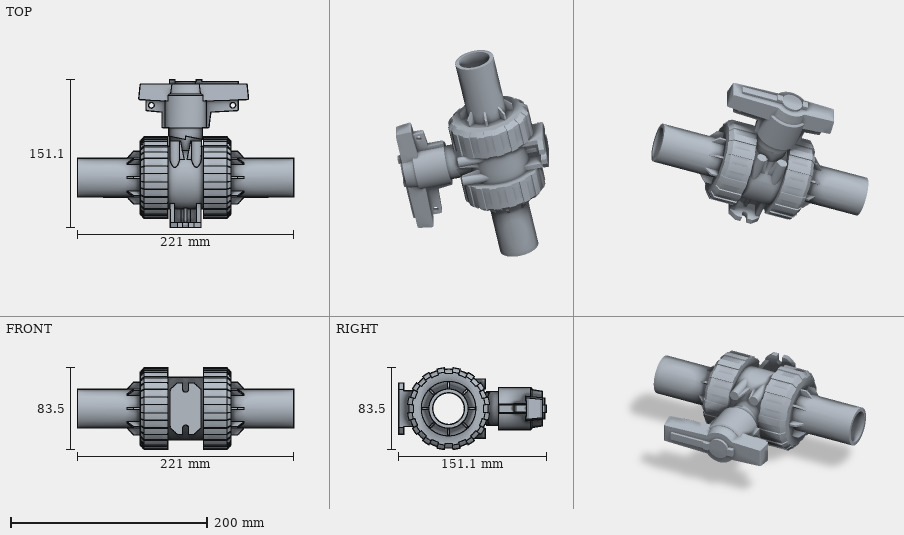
import cadquery as cq
import math


pipe_length = 221.0
pipe_radius = 40.0 / 2
bore_radius = 32.0 / 2
body_radius = 32.0
nut_inner_x = 18.1
nut_outer_x = 46.5
nut_rib_radius = 42.0
nut_groove_radius = 40.5
nut_chamfer_length = 4.2
nut_chamfer_height = 4.6
nut_rib_count = 16
nut_rib_angle = 10.5
collar_radius = 27.8
collar_recess = 0.5

fin_count = 8
fin_thickness = 2.1
fin_radius = 27.0
fin_flat_x = 53.0
fin_end_x = 59.7

foot_outer_y = -51.0
plate_inner_y = -45.5
plate_half_x = 16.0
plate_half_z = 26.3
plate_top_half_x = 8.5
plate_side_half_z = 19.5
plate_slot_radius = 3.0
plate_slot_floor_z = 16.8
foot_leg_thickness = 4.6
foot_leg_half_z = 18.3
foot_web_half_z = 2.2
foot_boss_radius = 5.3
foot_rib_half_x = 1.65
foot_rib_half_z = 9.0

stem_radius = 17.5
stem_top_y = 66.7
neck_radius = 16.4
cam_high_y = 42.5
cam_low_y = 39.0
post_radius = 5.0
post_x = 11.0
post_z = 25.2
post_top_y = 37.5
gusset_thickness = 2.2
gusset_base_y = 18.3
gusset_base_x = 1.3
gusset_top_x = 5.3

hub_radius = 21.7
hub_bore_radius = 18.5
hub_bottom_y = 50.8
hub_shoulder_y = 85.0
hub_edge_chamfer = 1.3
cap_base_radius = 19.5
cap_top_radius = 17.7
hub_cavity_top_y = 80.0
hub_slot_half_z = 4.9
grip_center_x = 8.2
grip_length = 112.7
grip_bottom_y = 78.2
grip_end_bottom_y = 79.5
grip_top_y = 95.7
grip_middle_half_z = 13.3
grip_end_half_z = 11.0
grip_draft_slope = 0.1
grip_draft = math.degrees(math.atan(grip_draft_slope))
grip_end_wall = 4.5
grip_roof = 3.3
grip_pocket_half_z = 7.5
grip_end_fillet = 1.5

insert_half_z = 7.7 / 2
insert_left_x = -40.5
insert_right_x = 53.7
insert_end_y = 68.3
insert_step_y = 66.7
insert_left_leg_x = -24.3
insert_right_leg_x = 23.9
insert_right_step_x = 25.9
insert_strip_x = 8.8
insert_top_y = 98.3
insert_corner_radius = 1.3
lock_hole_radius = 5.5 / 2
lock_hole_y = 73.8
lock_hole_inset = 5.5
button_radius = 10.8
catch_inner_x = 10.8
catch_outer_x = 16.5
catch_top_y = 100.1


def box_between(x0, x1, y0, y1, z0, z1):
    size = cq.Workplane("XY").box(x1 - x0, y1 - y0, z1 - z0, centered=False)
    return size.translate((x0, y0, z0))


def cylinder_x(radius, x0, x1):
    return cq.Workplane("YZ").workplane(offset=x0).circle(radius).extrude(x1 - x0)


def cylinder_y(radius, y0, y1, x=0.0, z=0.0):
    return cq.Workplane("XZ", origin=(x, y0, z)).circle(radius).extrude(y0 - y1)


def slab(points, half_z):
    """Outline in the XY plane, extruded symmetrically about Z = 0."""
    return cq.Workplane("XY").polyline(points).close().extrude(half_z, both=True)


def nut_sector(radius, angle):
    """Part of a nut on the +X side, swept about the pipe axis by the given angle."""
    profile = [
        (nut_inner_x, 0),
        (nut_inner_x, radius),
        (nut_outer_x - nut_chamfer_length, radius),
        (nut_outer_x, radius - nut_chamfer_height),
        (nut_outer_x, 0),
    ]
    return cq.Workplane("XY").polyline(profile).close().revolve(angle, (0, 0, 0), (1, 0, 0))


def make_nut():
    nut = nut_sector(nut_groove_radius, 360)
    pitch = 360 / nut_rib_count
    rib = nut_sector(nut_rib_radius, nut_rib_angle)
    for index in range(nut_rib_count):
        start = (index + 0.5) * pitch - nut_rib_angle / 2
        nut = nut.union(rib.rotate((0, 0, 0), (1, 0, 0), start))
    return nut.cut(cylinder_x(collar_radius, nut_outer_x - collar_recess, nut_outer_x))


def make_fins():
    profile = [
        (nut_inner_x, 0),
        (nut_inner_x, fin_radius),
        (fin_flat_x, fin_radius),
        (fin_end_x, pipe_radius),
        (fin_end_x, 0),
    ]
    fin = slab(profile, fin_thickness / 2)
    fins = fin
    for index in range(1, fin_count):
        fins = fins.union(fin.rotate((0, 0, 0), (1, 0, 0), index * 360 / fin_count))
    return fins


def make_run():
    run = cylinder_x(pipe_radius, -pipe_length / 2, pipe_length / 2)
    run = run.union(cylinder_x(body_radius, -nut_inner_x, nut_inner_x))
    end = make_nut().union(make_fins())
    return run.union(end).union(end.mirror("YZ"))


def make_foot():
    thickness = plate_inner_y - foot_outer_y
    outline = [
        (plate_half_x, plate_side_half_z),
        (plate_top_half_x, plate_half_z),
        (-plate_top_half_x, plate_half_z),
        (-plate_half_x, plate_side_half_z),
        (-plate_half_x, -plate_side_half_z),
        (-plate_top_half_x, -plate_half_z),
        (plate_top_half_x, -plate_half_z),
        (plate_half_x, -plate_side_half_z),
    ]
    plate_plane = cq.Workplane("XZ", origin=(0, plate_inner_y, 0))
    foot = plate_plane.polyline(outline).close().extrude(thickness)
    leg_inner_x = plate_half_x - foot_leg_thickness
    for side_x in (-plate_half_x, leg_inner_x):
        foot = foot.union(box_between(
            side_x, side_x + foot_leg_thickness, plate_inner_y, 0, -foot_leg_half_z, foot_leg_half_z))
    foot = foot.union(box_between(
        -leg_inner_x, leg_inner_x, plate_inner_y, 0, -foot_web_half_z, foot_web_half_z))
    foot = foot.union(cylinder_y(foot_boss_radius, plate_inner_y, 0))
    foot = foot.union(box_between(
        -foot_rib_half_x, foot_rib_half_x, plate_inner_y, 0, -foot_rib_half_z, foot_rib_half_z))
    slot_center_z = plate_slot_floor_z + plate_slot_radius
    for side in (-1, 1):
        foot = foot.cut(cylinder_y(
            plate_slot_radius, foot_outer_y, plate_inner_y, z=side * slot_center_z))
        slot_z = sorted((side * slot_center_z, side * plate_half_z))
        foot = foot.cut(box_between(
            -plate_slot_radius, plate_slot_radius, foot_outer_y, plate_inner_y, *slot_z))
    return foot


def make_stem():
    stem = cylinder_y(neck_radius, 0, cam_high_y)
    stem = stem.union(cylinder_y(stem_radius, cam_high_y, stem_top_y))
    ramps = slab([
        (-stem_radius, cam_high_y),
        (0, cam_low_y),
        (0, cam_high_y),
        (stem_radius, cam_low_y),
        (stem_radius, stem_top_y),
        (-stem_radius, stem_top_y),
    ], stem_radius)
    return stem.union(cylinder_y(stem_radius, cam_low_y, stem_top_y).intersect(ramps))


def make_stop_posts():
    gusset = slab([
        (gusset_base_x, gusset_base_y),
        (gusset_top_x, post_top_y),
        (post_x, post_top_y),
        (post_x, gusset_base_y),
    ], gusset_thickness / 2)
    post = cylinder_y(post_radius, 0, post_top_y, post_x, post_z)
    post = post.union(gusset.translate((0, 0, post_z)))
    pair = post.union(post.mirror("YZ"))
    return pair.union(pair.mirror("XY"))


def make_grip():
    half_length = grip_length / 2
    left_x = grip_center_x - half_length
    right_x = grip_center_x + half_length
    outline = [
        (left_x, -grip_end_half_z),
        (0, -grip_middle_half_z),
        (right_x, -grip_end_half_z),
        (right_x, grip_end_half_z),
        (0, grip_middle_half_z),
        (left_x, grip_end_half_z),
    ]
    base_plane = cq.Workplane("XZ", origin=(0, grip_bottom_y, 0))
    height = grip_top_y - grip_bottom_y
    grip = base_plane.polyline(outline).close().extrude(-height, taper=grip_draft)
    for side, end_x in ((-1, left_x), (1, right_x)):
        grip = grip.cut(slab([
            (side * hub_radius, grip_bottom_y),
            (end_x, grip_end_bottom_y),
            (end_x, grip_bottom_y),
        ], grip_middle_half_z))
    grip = grip.faces(">Y").edges("<X or >X").fillet(grip_end_fillet)
    grip = grip.edges("<X or >X").fillet(grip_end_fillet)
    return grip.cut(box_between(
        left_x + grip_end_wall, right_x - grip_end_wall,
        grip_bottom_y, grip_top_y - grip_roof,
        -grip_pocket_half_z, grip_pocket_half_z))


def make_hub():
    profile = [
        (0, hub_bottom_y),
        (hub_radius, hub_bottom_y),
        (hub_radius, hub_shoulder_y - hub_edge_chamfer),
        (hub_radius - hub_edge_chamfer, hub_shoulder_y),
        (cap_base_radius, hub_shoulder_y),
        (cap_top_radius, grip_top_y),
        (0, grip_top_y),
    ]
    return cq.Workplane("XY").polyline(profile).close().revolve(360, (0, 0, 0), (0, 1, 0))


def make_insert():
    outline = [
        (insert_left_x, insert_end_y),
        (insert_left_leg_x, insert_step_y),
        (insert_left_leg_x, hub_bottom_y),
        (insert_right_leg_x, hub_bottom_y),
        (insert_right_step_x, insert_step_y),
        (insert_right_x, insert_end_y),
        (insert_right_x, insert_top_y),
        (insert_strip_x, insert_top_y),
        (insert_strip_x, grip_top_y),
        (insert_left_x, grip_top_y),
    ]
    insert = slab(outline, insert_half_z)
    lower_corners = [
        (insert_left_x, insert_end_y, 0),
        (insert_left_leg_x, hub_bottom_y, 0),
        (insert_right_leg_x, hub_bottom_y, 0),
        (insert_right_x, insert_end_y, 0),
    ]
    for point in lower_corners:
        corner = cq.selectors.NearestToPointSelector(point)
        insert = insert.edges("|Z").edges(corner).fillet(insert_corner_radius)
    for hole_x in (insert_left_x + lock_hole_inset, insert_right_x - lock_hole_inset):
        hole = cq.Workplane("XY").center(hole_x, lock_hole_y).circle(lock_hole_radius)
        insert = insert.cut(hole.extrude(insert_half_z, both=True))
    insert = insert.union(cylinder_y(button_radius, grip_top_y, insert_top_y))
    for left_x in (-catch_outer_x, catch_inner_x):
        insert = insert.union(box_between(
            left_x, left_x + catch_outer_x - catch_inner_x,
            hub_shoulder_y, catch_top_y, -insert_half_z, insert_half_z))
    return insert


def make_handle():
    handle = make_grip().union(make_hub())
    handle = handle.cut(cylinder_y(hub_bore_radius, hub_bottom_y, hub_cavity_top_y))
    handle = handle.cut(box_between(
        -hub_radius, hub_radius, hub_bottom_y, hub_cavity_top_y, -hub_slot_half_z, hub_slot_half_z))
    return handle.union(make_insert())


valve = make_run().union(make_foot()).union(make_stem()).union(make_stop_posts())
valve = valve.cut(cylinder_x(bore_radius, -pipe_length / 2, pipe_length / 2))
result = valve.union(make_handle())